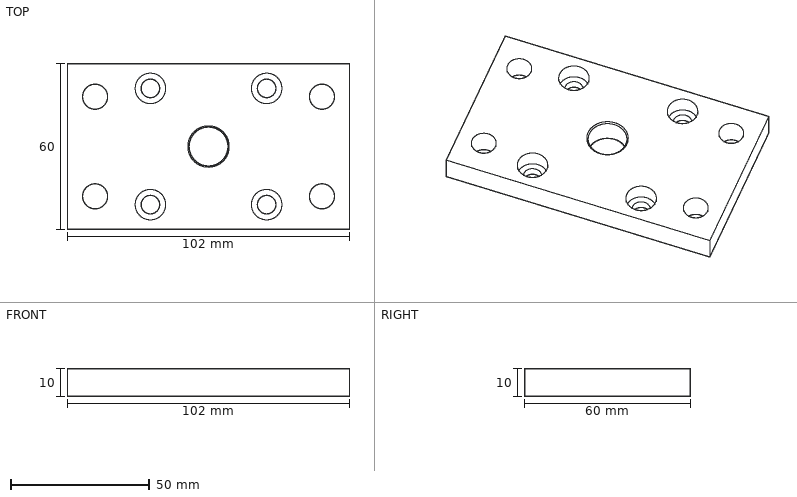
import cadquery as cq

length = 102.0
width = 60.0
thickness = 10.0

corner_hole_diameter = 9.0
corner_spacing_x = 82.0
corner_spacing_y = 36.0

screw_hole_diameter = 6.6
counterbore_diameter = 11.0
counterbore_depth = 6.5
screw_spacing = 42.0

center_hole_diameter = 14.0
center_chamfer = 0.5


def top_face_points(body, spacing_x, spacing_y):
    """Select the corners of a centred rectangle on the top face."""
    top = body.faces(">Z").workplane(origin=(0, 0, thickness))
    return top.rect(spacing_x, spacing_y, forConstruction=True).vertices()


plate = cq.Workplane("XY").box(length, width, thickness, centered=(True, True, False))

plate = plate.faces(">Z").workplane().hole(center_hole_diameter)
plate = plate.edges("%CIRCLE").chamfer(center_chamfer)

plate = top_face_points(plate, corner_spacing_x, corner_spacing_y).hole(corner_hole_diameter)
result = top_face_points(plate, screw_spacing, screw_spacing).cboreHole(
    screw_hole_diameter, counterbore_diameter, counterbore_depth
)